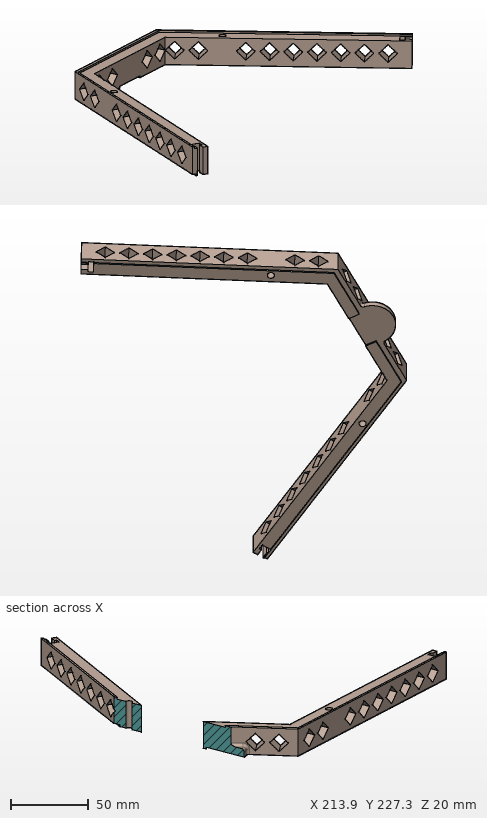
import cadquery as cq
import math

TURN = 60.0
LONG_LENGTH = 165.45
SHORT_LENGTH = 96.98
ARM_WIDTH = 11.0
HEIGHT = 20.0

LONG_SKIN = 1.5
SHORT_SKIN = 2.4
LIP_HEIGHT = 1.2
CORE_TOP = HEIGHT - LIP_HEIGHT

FOOT_HEIGHT = LIP_HEIGHT
FOOT_STEP = 1.0

WINDOW_HALF_DIAGONAL = 6.0
WINDOW_PITCH = 15.3
WINDOW_FIRST = 12.45
WINDOW_Z = HEIGHT / 2
LONG_ARM_STEPS = (0, 1, 3, 4, 5, 6, 7, 8, 9)
SHORT_ARM_STEPS = (0, 1)

PIN_DIAMETER = 4.5
PIN_ALONG = WINDOW_FIRST + 2 * WINDOW_PITCH
PIN_ACROSS = 6.0

SLOT_DEPTH = 8.0
MOUTH_DEPTH = 4.6
SLOT_WIDTH = 7.0
MOUTH_WIDTH = 4.0
SLOT_ACROSS = ARM_WIDTH / 2

TAB_RADIUS = 15.0
TAB_TOP = 7.0
TAB_ROOT_FILLET = 2.0
TAB_EDGE_FILLET = 2.0
SELECT_MARGIN = 0.1
FOOT_GAP = 24.0

TURN_COS = math.cos(math.radians(TURN))
TURN_SIN = math.sin(math.radians(TURN))
SHORT_DIRECTION = cq.Vector(-TURN_COS, TURN_SIN)
FAR_CORNER = SHORT_DIRECTION * SHORT_LENGTH


def placed_on_short_arm(body):
    """Move a body modelled along +X, with +Y inward, onto the short arm."""
    return body.rotate((0, 0, 0), (0, 0, 1), -TURN).translate(FAR_CORNER)


def on_both_long_arms(body):
    """Join a body modelled on the +X arm with its mirror image on the other long arm."""
    return body.union(body.mirror(SHORT_DIRECTION, FAR_CORNER / 2))


def frame_edge(long_inset, short_inset):
    """Points of a line along the frame, inset from the outer edge, from one free end to the other."""
    corner_x = (short_inset - long_inset * TURN_COS) / TURN_SIN
    near = [cq.Vector(LONG_LENGTH, long_inset), cq.Vector(corner_x, long_inset)]
    far = [
        point + SHORT_DIRECTION * (SHORT_LENGTH - 2 * point.dot(SHORT_DIRECTION))
        for point in reversed(near)
    ]
    return [(point.x, point.y) for point in near + far]


def frame_band(long_inset, short_inset, bottom, top):
    """Bent bar from the inset outer edge to the inner edge of the frame, over a height range."""
    outer = frame_edge(long_inset, short_inset)
    inner = frame_edge(ARM_WIDTH, ARM_WIDTH)
    outline = outer + inner[::-1]
    return cq.Workplane("XY", origin=(0, 0, bottom)).polyline(outline).close().extrude(top - bottom)


def windows(places):
    """Diamond prisms crossing an arm at the given distances along it."""
    half = WINDOW_HALF_DIAGONAL
    body = cq.Workplane("XY")
    for place in places:
        body = body.union(
            cq.Workplane("XZ", origin=(place, 0, WINDOW_Z))
            .polyline([(-half, 0), (0, -half), (half, 0), (0, half)])
            .close()
            .extrude(-ARM_WIDTH)
        )
    return body


def pin_hole():
    """Round bore through the full height of a long arm."""
    return cq.Workplane("XY").center(PIN_ALONG, PIN_ACROSS).circle(PIN_DIAMETER / 2).extrude(HEIGHT)


def t_slot():
    """Slot open at the free end, narrow at its mouth and wide behind the lips."""
    mouth = (
        cq.Workplane("XY")
        .center(LONG_LENGTH - SLOT_DEPTH / 2, SLOT_ACROSS)
        .rect(SLOT_DEPTH, MOUTH_WIDTH)
        .extrude(HEIGHT)
    )
    wide_depth = SLOT_DEPTH - MOUTH_DEPTH
    wide = (
        cq.Workplane("XY")
        .center(LONG_LENGTH - MOUTH_DEPTH - wide_depth / 2, SLOT_ACROSS)
        .rect(wide_depth, SLOT_WIDTH)
        .extrude(HEIGHT)
    )
    return mouth.union(wide)


def finger_tab():
    """Half disc standing out from the short arm, blended into a strip of its outer skin."""
    disc = (
        cq.Workplane("XY", origin=(SHORT_LENGTH / 2, 0, FOOT_HEIGHT))
        .circle(TAB_RADIUS)
        .extrude(TAB_TOP - FOOT_HEIGHT)
        .faces(">Z")
        .edges()
        .fillet(TAB_EDGE_FILLET)
    )
    skin = (
        cq.Workplane("XY", origin=(SHORT_LENGTH / 2, SHORT_SKIN / 2, FOOT_HEIGHT))
        .rect(SHORT_LENGTH - 2 * ARM_WIDTH, SHORT_SKIN)
        .extrude(HEIGHT - FOOT_HEIGHT)
    )
    inner_half = (
        cq.Workplane("XY", origin=(SHORT_LENGTH / 2, TAB_RADIUS / 2, FOOT_HEIGHT))
        .rect(2 * TAB_RADIUS, TAB_RADIUS)
        .extrude(TAB_TOP - FOOT_HEIGHT)
    )
    root = cq.selectors.BoxSelector(
        (SHORT_LENGTH / 2 - TAB_RADIUS - SELECT_MARGIN, -SELECT_MARGIN, FOOT_HEIGHT + SELECT_MARGIN),
        (SHORT_LENGTH / 2 + TAB_RADIUS + SELECT_MARGIN, SELECT_MARGIN, TAB_TOP + SELECT_MARGIN),
    )
    return skin.union(disc.cut(inner_half)).edges(root).fillet(TAB_ROOT_FILLET)


def foot_gap():
    """Cut that interrupts the foot of the short arm below the tab."""
    return (
        cq.Workplane("XY")
        .center(SHORT_LENGTH / 2, ARM_WIDTH / 2)
        .rect(FOOT_GAP, ARM_WIDTH)
        .extrude(FOOT_HEIGHT)
    )


long_places = [WINDOW_FIRST + step * WINDOW_PITCH for step in LONG_ARM_STEPS]
short_places = [WINDOW_FIRST + step * WINDOW_PITCH for step in SHORT_ARM_STEPS]
short_places += [SHORT_LENGTH - place for place in short_places]

result = frame_band(0, 0, FOOT_HEIGHT, HEIGHT)
result = result.cut(frame_band(LONG_SKIN, SHORT_SKIN, CORE_TOP, HEIGHT))
result = result.union(frame_band(LONG_SKIN + FOOT_STEP, SHORT_SKIN + FOOT_STEP, 0, FOOT_HEIGHT))
result = result.union(placed_on_short_arm(finger_tab()))
result = result.cut(on_both_long_arms(windows(long_places)))
result = result.cut(placed_on_short_arm(windows(short_places)))
result = result.cut(on_both_long_arms(pin_hole().union(t_slot())))
result = result.cut(placed_on_short_arm(foot_gap()))